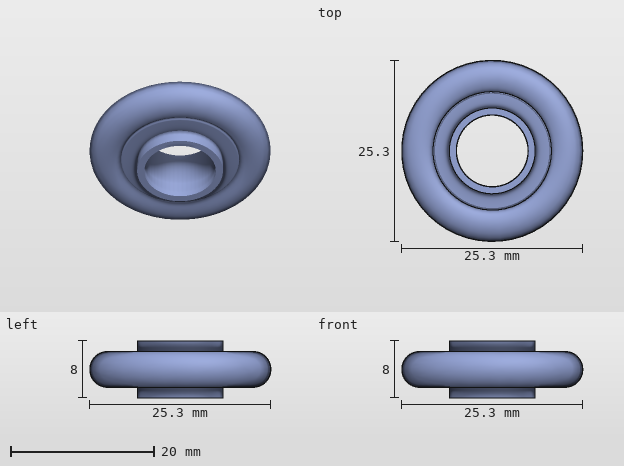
import cadquery as cq

outer_diameter = 25.3
ring_section_diameter = 5.0
hub_height = 8.0
hub_diameter = 12.0
bore_diameter = 10.0
flange_diameter = 16.55
flange_thickness = 4.0
flange_edge_radius = 0.2

ring_section_radius = ring_section_diameter / 2
ring_centre_radius = outer_diameter / 2 - ring_section_radius


def make_ring():
    """Round-section ring, centred on the origin around the Z axis."""
    return (
        cq.Workplane("XZ")
        .center(ring_centre_radius, 0)
        .circle(ring_section_radius)
        .revolve(360, (-ring_centre_radius, 0, 0), (-ring_centre_radius, 1, 0))
    )


def make_cylinder(diameter, height):
    """Upright cylinder with its mid-height at Z = 0."""
    return cq.Workplane("XY").circle(diameter / 2).extrude(height / 2, both=True)


def make_hub():
    """Flanged sleeve with a groove in its rim that seats the ring."""
    flange = make_cylinder(flange_diameter, flange_thickness)
    flange = flange.faces("<Z or >Z").edges().fillet(flange_edge_radius)
    sleeve = make_cylinder(hub_diameter, hub_height)
    bore = make_cylinder(bore_diameter, hub_height)
    return flange.union(sleeve).cut(bore).cut(make_ring())


ring = make_ring()
hub = make_hub()

result = cq.Compound.makeCompound([ring.val(), hub.solids().val()])